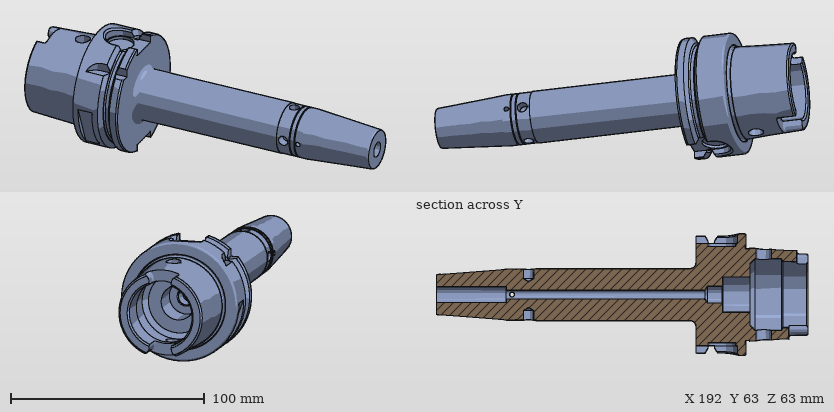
import cadquery as cq
import math


SHANK_LENGTH = 32.0
GAUGE_RADIUS = 23.87
GAUGE_DISTANCE = 6.3
TAPER_PER_MM = 1 / 20
END_CHAMFER_LENGTH = 0.7
END_CHAMFER_HEIGHT = 0.9
NECK_LENGTH = 1.8
NECK_DEPTH = 0.3
FACE_RECESS_RADIUS = 25.4
FACE_RECESS_DEPTH = 0.4
FACE_RECESS_FILLET = 0.5

FLANGE_RADIUS = 31.5
FLANGE_LENGTH = 26.0
FRONT_EDGE_FILLET = 1.2
REAR_EDGE_LENGTH = 1.0
REAR_EDGE_HEIGHT = 0.4
GROOVE_CENTRE = 18.0
GROOVE_MOUTH_HALF = 3.4
GROOVE_NECK_HALF = 1.6
GROOVE_NECK_RADIUS = 28.6
GROOVE_FLOOR_RADIUS = 27.4
GROOVE_FLOOR_FILLET = 0.7

TOTAL_REACH = 160.0
BODY_RADIUS = 13.5
BODY_FILLET = 3.0
NOSE_STEP_X = 108.6
NOSE_RADIUS = 13.3
CONE_START_X = 123.2
TIP_RADIUS = 10.5
TIP_CHAMFER_LENGTH = 0.8
TIP_CHAMFER_HEIGHT = 0.3
RING_GROOVE_CENTRES = (116.0, 118.8)
RING_GROOVE_WIDTH = 0.5
RING_GROOVE_DEPTH = 0.2

CLAMP_BORE_RADIUS = 17.0
CLAMP_LAND_END_X = -19.0
CLAMP_UNDERCUT_RADIUS = 18.5
CLAMP_UNDERCUT_SLOPE = 60.0
CLAMP_BORE_END_X = -2.0
CLAMP_BORE_CHAMFER = 0.9
CLAMP_FLOOR_RADIUS = 15.9
TUBE_BORE_RADIUS = 9.0
TUBE_BORE_END_X = 12.0
SCREW_BORE_RADIUS = 4.3
SCREW_BORE_CHAMFER = 0.5
SCREW_BORE_END_X = 20.0
DRILL_HALF_ANGLE = 59.0
COOLANT_RADIUS = 2.2
TOOL_BORE_RADIUS = 4.0
TOOL_BORE_START_X = 124.0

DRIVE_SLOT_HALF_WIDTH = 6.0
DRIVE_SLOT_LIP_HEIGHT = 21.2
DRIVE_SLOT_LIP_RADIUS = 3.7
DRIVE_SLOT_DEPTH_TOP = 5.8
DRIVE_SLOT_DEPTH_BOTTOM = 9.9
DRIVE_SLOT_FLOOR_FILLET = 1.2

SHANK_HOLE_X = -9.1
SHANK_HOLE_RADIUS = 3.9
SCREW_HOLE_X = 112.4
SCREW_HOLE_RADIUS = 2.6
SCREW_HOLE_DEPTH = 5.0
SCREW_HOLE_ANGLES = (0, 90, 180, 270)
VENT_X = 120.9
VENT_RADIUS = 1.2

KEYWAY_CENTRE_X = 12.5
KEYWAY_HALF_WIDTH = 7.8
KEYWAY_RIM_CHAMFER = 1.1
KEYWAY_REAR_CHAMFER = 0.5
KEYWAY_FLOOR = 26.5
KEYWAY_POCKET_RADIUS = 7.1
KEYWAY_POCKET_DEPTH = 1.6

NOTCH_OFFSET = 20.0
NOTCH_CUTTER_RADIUS = 8.0
NOTCH_TANGENT_X = 11.6
FLAT_START_X = 3.5
FLAT_END_X = 11.4
FLAT_ANGLE = 21.6
FLAT_DISTANCE = 28.95

CLEARANCE = 5.0
ARC_MIDPOINT = 1 - math.sqrt(0.5)


def taper_radius(x):
    return GAUGE_RADIUS + (x + GAUGE_DISTANCE) * TAPER_PER_MM


def revolve_about_x(points):
    """Revolve a closed (x, radius) outline about the X axis."""
    outline = cq.Workplane("XY").polyline(points).close()
    return outline.revolve(360, (0, 0, 0), (1, 0, 0))


def x_cylinder(radius, x_start, x_end):
    return cq.Workplane("YZ", origin=(x_start, 0, 0)).circle(radius).extrude(x_end - x_start)


def make_shank():
    x_end = -SHANK_LENGTH
    x_chamfer = x_end + END_CHAMFER_LENGTH
    x_neck = -NECK_LENGTH
    neck_radius = taper_radius(x_neck) - NECK_DEPTH
    fillet = FACE_RECESS_FILLET
    fillet_shift = fillet * ARC_MIDPOINT
    outline = (
        cq.Workplane("XY")
        .moveTo(x_end, 0)
        .lineTo(x_end, taper_radius(x_end) - END_CHAMFER_HEIGHT)
        .lineTo(x_chamfer, taper_radius(x_chamfer))
        .lineTo(x_neck, taper_radius(x_neck))
        .lineTo(x_neck + NECK_DEPTH, neck_radius)
        .lineTo(FACE_RECESS_DEPTH - fillet, neck_radius)
        .threePointArc(
            (FACE_RECESS_DEPTH - fillet_shift, neck_radius + fillet_shift),
            (FACE_RECESS_DEPTH, neck_radius + fillet),
        )
        .lineTo(FACE_RECESS_DEPTH, 0)
        .close()
    )
    return outline.revolve(360, (0, 0, 0), (1, 0, 0))


def make_flange():
    """Flange disc with a relieved contact face and a filleted gripper groove."""
    neck_x = GROOVE_CENTRE - GROOVE_NECK_HALF
    far_neck_x = GROOVE_CENTRE + GROOVE_NECK_HALF
    fillet = GROOVE_FLOOR_FILLET
    groove_shift = fillet * ARC_MIDPOINT
    edge_shift = FRONT_EDGE_FILLET * ARC_MIDPOINT
    floor = GROOVE_FLOOR_RADIUS
    outline = (
        cq.Workplane("XY")
        .moveTo(FACE_RECESS_DEPTH, 0)
        .lineTo(FACE_RECESS_DEPTH, FACE_RECESS_RADIUS - FACE_RECESS_DEPTH)
        .lineTo(0, FACE_RECESS_RADIUS)
        .lineTo(0, FLANGE_RADIUS - FRONT_EDGE_FILLET)
        .threePointArc((edge_shift, FLANGE_RADIUS - edge_shift), (FRONT_EDGE_FILLET, FLANGE_RADIUS))
        .lineTo(GROOVE_CENTRE - GROOVE_MOUTH_HALF, FLANGE_RADIUS)
        .lineTo(neck_x, GROOVE_NECK_RADIUS)
        .lineTo(neck_x, floor + fillet)
        .threePointArc((neck_x + groove_shift, floor + groove_shift), (neck_x + fillet, floor))
        .lineTo(far_neck_x - fillet, floor)
        .threePointArc((far_neck_x - groove_shift, floor + groove_shift), (far_neck_x, floor + fillet))
        .lineTo(far_neck_x, GROOVE_NECK_RADIUS)
        .lineTo(GROOVE_CENTRE + GROOVE_MOUTH_HALF, FLANGE_RADIUS)
        .lineTo(FLANGE_LENGTH - REAR_EDGE_LENGTH, FLANGE_RADIUS)
        .lineTo(FLANGE_LENGTH, FLANGE_RADIUS - REAR_EDGE_HEIGHT)
        .lineTo(FLANGE_LENGTH, 0)
        .close()
    )
    return outline.revolve(360, (0, 0, 0), (1, 0, 0))


def make_body():
    fillet_end_x = FLANGE_LENGTH + BODY_FILLET
    arc_shift = BODY_FILLET * ARC_MIDPOINT
    outline = (
        cq.Workplane("XY")
        .moveTo(FLANGE_LENGTH, 0)
        .lineTo(FLANGE_LENGTH, BODY_RADIUS + BODY_FILLET)
        .threePointArc(
            (FLANGE_LENGTH + arc_shift, BODY_RADIUS + arc_shift),
            (fillet_end_x, BODY_RADIUS),
        )
        .lineTo(NOSE_STEP_X, BODY_RADIUS)
        .lineTo(NOSE_STEP_X, NOSE_RADIUS)
        .lineTo(CONE_START_X, NOSE_RADIUS)
        .lineTo(TOTAL_REACH - TIP_CHAMFER_LENGTH, TIP_RADIUS)
        .lineTo(TOTAL_REACH, TIP_RADIUS - TIP_CHAMFER_HEIGHT)
        .lineTo(TOTAL_REACH, 0)
        .close()
    )
    return outline.revolve(360, (0, 0, 0), (1, 0, 0))


def make_ring_groove(centre_x):
    half = RING_GROOVE_WIDTH / 2
    ring = x_cylinder(NOSE_RADIUS + CLEARANCE, centre_x - half, centre_x + half)
    return ring.cut(x_cylinder(NOSE_RADIUS - RING_GROOVE_DEPTH, centre_x - half, centre_x + half))


def make_axial_bores():
    cone_length = (SCREW_BORE_RADIUS - COOLANT_RADIUS) / math.tan(math.radians(DRILL_HALF_ANGLE))
    undercut_height = CLAMP_UNDERCUT_RADIUS - CLAMP_BORE_RADIUS
    undercut_run = undercut_height / math.tan(math.radians(CLAMP_UNDERCUT_SLOPE))
    floor_bevel = CLAMP_UNDERCUT_RADIUS - CLAMP_FLOOR_RADIUS
    x_end = -SHANK_LENGTH
    return revolve_about_x([
        (x_end, 0),
        (x_end, CLAMP_BORE_RADIUS + CLAMP_BORE_CHAMFER),
        (x_end + CLAMP_BORE_CHAMFER, CLAMP_BORE_RADIUS),
        (CLAMP_LAND_END_X, CLAMP_BORE_RADIUS),
        (CLAMP_LAND_END_X + undercut_run, CLAMP_UNDERCUT_RADIUS),
        (CLAMP_BORE_END_X - floor_bevel, CLAMP_UNDERCUT_RADIUS),
        (CLAMP_BORE_END_X, CLAMP_FLOOR_RADIUS),
        (CLAMP_BORE_END_X, TUBE_BORE_RADIUS),
        (TUBE_BORE_END_X, TUBE_BORE_RADIUS),
        (TUBE_BORE_END_X, SCREW_BORE_RADIUS + SCREW_BORE_CHAMFER),
        (TUBE_BORE_END_X + SCREW_BORE_CHAMFER, SCREW_BORE_RADIUS),
        (SCREW_BORE_END_X, SCREW_BORE_RADIUS),
        (SCREW_BORE_END_X + cone_length, COOLANT_RADIUS),
        (TOOL_BORE_START_X, COOLANT_RADIUS),
        (TOOL_BORE_START_X, TOOL_BORE_RADIUS),
        (TOTAL_REACH, TOOL_BORE_RADIUS),
        (TOTAL_REACH, 0),
    ])


def make_drive_slot(depth):
    """Slot open towards +Z whose side walls roll outwards over a rounded lip."""
    wall = DRIVE_SLOT_HALF_WIDTH
    lip_radius = DRIVE_SLOT_LIP_RADIUS
    lip_z = DRIVE_SLOT_LIP_HEIGHT
    arc_shift = lip_radius * ARC_MIDPOINT
    outer_y = GAUGE_RADIUS
    top_z = GAUGE_RADIUS + CLEARANCE
    slot = (
        cq.Workplane("YZ", origin=(-SHANK_LENGTH - CLEARANCE, 0, 0))
        .moveTo(-wall, 0)
        .lineTo(-wall, lip_z - lip_radius)
        .threePointArc((-wall - arc_shift, lip_z - arc_shift), (-wall - lip_radius, lip_z))
        .lineTo(-outer_y, lip_z)
        .lineTo(-outer_y, top_z)
        .lineTo(outer_y, top_z)
        .lineTo(outer_y, lip_z)
        .lineTo(wall + lip_radius, lip_z)
        .threePointArc((wall + arc_shift, lip_z - arc_shift), (wall, lip_z - lip_radius))
        .lineTo(wall, 0)
        .close()
        .extrude(CLEARANCE + depth)
    )
    return slot.faces(">X").edges().fillet(DRIVE_SLOT_FLOOR_FILLET)


def make_keyway():
    """Round-ended keyway on the +Z side, open towards +X, with a sunken round pocket."""
    length = FLANGE_LENGTH - KEYWAY_CENTRE_X + CLEARANCE
    height = FLANGE_RADIUS + CLEARANCE - KEYWAY_FLOOR
    floor = cq.Workplane("XY", origin=(KEYWAY_CENTRE_X, 0, KEYWAY_FLOOR))
    round_end = floor.circle(KEYWAY_HALF_WIDTH).extrude(height)
    straight = floor.center(length / 2, 0).rect(length, 2 * KEYWAY_HALF_WIDTH).extrude(height)
    pocket = floor.circle(KEYWAY_POCKET_RADIUS).extrude(-KEYWAY_POCKET_DEPTH)
    return round_end.union(straight).union(pocket)


def chamfer_keyway_rims(part, x_start, x_end, chamfer):
    """Break the outer edges of both keyways that lie between two places along the axis."""
    half_width = KEYWAY_HALF_WIDTH + chamfer
    rim_base = math.sqrt(FLANGE_RADIUS**2 - half_width**2) - chamfer
    for z_low, z_high in ((rim_base, FLANGE_RADIUS), (-FLANGE_RADIUS, -rim_base)):
        rim_box = cq.selectors.BoxSelector(
            (x_start, -half_width, z_low),
            (x_end, half_width, z_high),
        )
        part = part.edges(rim_box).chamfer(chamfer)
    return part


def make_notch():
    """Step in the flange corner between -Y and +Z, milled along Z with a round run-in."""
    plane = cq.Workplane("XY", origin=(0, 0, NOTCH_OFFSET))
    centre_y = -NOTCH_OFFSET - NOTCH_CUTTER_RADIUS
    length = FLANGE_LENGTH - NOTCH_TANGENT_X + CLEARANCE
    run_in = plane.center(NOTCH_TANGENT_X, centre_y).circle(NOTCH_CUTTER_RADIUS).extrude(FLANGE_RADIUS)
    straight = (
        plane.center(NOTCH_TANGENT_X + length / 2, centre_y)
        .rect(length, 2 * NOTCH_CUTTER_RADIUS)
        .extrude(FLANGE_RADIUS)
    )
    return run_in.union(straight)


def make_marking_flat():
    length = FLAT_END_X - FLAT_START_X
    block = cq.Workplane("XY").box(length, FLANGE_RADIUS, 2 * FLANGE_RADIUS, centered=(False, False, True))
    block = block.translate((FLAT_START_X, -FLAT_DISTANCE - FLANGE_RADIUS, 0))
    return block.rotate((0, 0, 0), (1, 0, 0), FLAT_ANGLE)


def make_screw_hole(angle):
    """Blind drilled hole with a conical bottom, turned about the axis."""
    floor = NOSE_RADIUS - SCREW_HOLE_DEPTH
    cone_depth = SCREW_HOLE_RADIUS / math.tan(math.radians(DRILL_HALF_ANGLE))
    hole = (
        cq.Workplane("XZ")
        .moveTo(0, floor - cone_depth)
        .lineTo(SCREW_HOLE_RADIUS, floor)
        .lineTo(SCREW_HOLE_RADIUS, NOSE_RADIUS + CLEARANCE)
        .lineTo(0, NOSE_RADIUS + CLEARANCE)
        .close()
        .revolve(360, (0, 0, 0), (0, 1, 0))
    )
    return hole.translate((SCREW_HOLE_X, 0, 0)).rotate((0, 0, 0), (1, 0, 0), angle)


def make_shank_hole():
    hole = cq.Workplane("XY").center(SHANK_HOLE_X, 0).circle(SHANK_HOLE_RADIUS)
    return hole.extrude(GAUGE_RADIUS + CLEARANCE, both=True)


def make_vent():
    hole = cq.Workplane("XZ").center(VENT_X, 0).circle(VENT_RADIUS)
    return hole.extrude(BODY_RADIUS + CLEARANCE, both=True)


def half_turn(shape):
    return shape.rotate((0, 0, 0), (1, 0, 0), 180)


result = make_shank().union(make_flange()).union(make_body())
result = result.cut(make_axial_bores())

result = result.cut(make_drive_slot(DRIVE_SLOT_DEPTH_TOP))
result = result.cut(half_turn(make_drive_slot(DRIVE_SLOT_DEPTH_BOTTOM)))

result = result.cut(make_keyway())
result = result.cut(half_turn(make_keyway()))
result = chamfer_keyway_rims(
    result,
    KEYWAY_CENTRE_X - KEYWAY_HALF_WIDTH,
    GROOVE_CENTRE - GROOVE_MOUTH_HALF,
    KEYWAY_RIM_CHAMFER,
)
result = chamfer_keyway_rims(
    result,
    GROOVE_CENTRE + GROOVE_MOUTH_HALF,
    FLANGE_LENGTH - REAR_EDGE_LENGTH,
    KEYWAY_REAR_CHAMFER,
)
result = result.cut(make_notch())
result = result.cut(make_marking_flat())

for groove_x in RING_GROOVE_CENTRES:
    result = result.cut(make_ring_groove(groove_x))
for hole_angle in SCREW_HOLE_ANGLES:
    result = result.cut(make_screw_hole(hole_angle))

result = result.cut(make_shank_hole())
result = result.cut(make_vent())